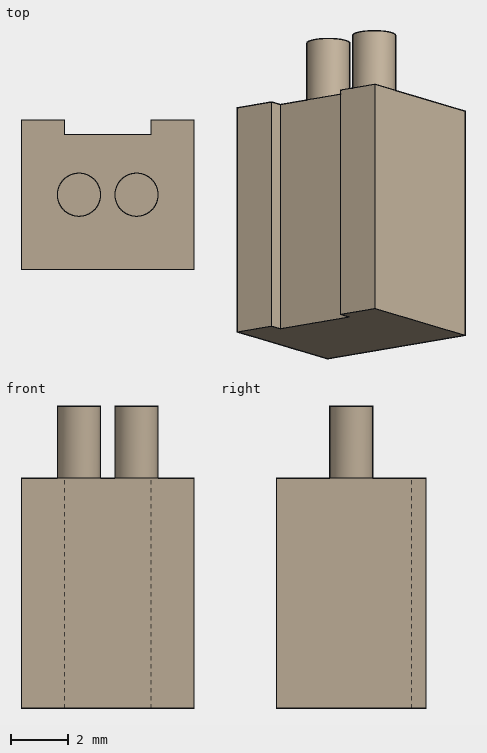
import cadquery as cq

body_width = 6.0
body_depth = 5.2
body_height = 8.0

groove_width = 3.0
groove_depth = 0.5

wire_diameter = 1.5
wire_length = 2.5
wire_pitch = 2.0


def make_housing():
    """Rectangular block standing on Z = 0, centred in X and Y."""
    return cq.Workplane("XY").box(body_width, body_depth, body_height, centered=(True, True, False))


def make_groove():
    """Cutter for the groove in the middle of the +Y face."""
    groove_center_y = (body_depth - groove_depth) / 2
    return (
        cq.Workplane("XY")
        .center(0, groove_center_y)
        .rect(groove_width, groove_depth)
        .extrude(body_height)
    )


def make_wires():
    """Pair of cylinders rising from the top face, spaced along X."""
    wire_centers = [(side * wire_pitch / 2, 0) for side in (-1, 1)]
    return (
        cq.Workplane("XY")
        .workplane(offset=body_height)
        .pushPoints(wire_centers)
        .circle(wire_diameter / 2)
        .extrude(wire_length)
    )


result = make_housing().cut(make_groove()).union(make_wires())